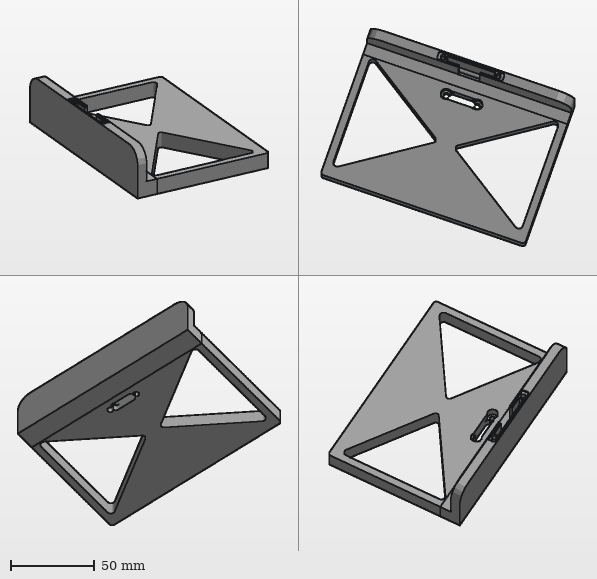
import cadquery as cq

width = 130.0
depth = 91.3
height = 32.0

plate_thickness = 10.0
plate_corner_radius = 2.0
stand_depth = 13.5
wall_thickness = 6.2
wall_corner_radius = 10.0

window_side_margin = 4.8
window_half_height = 36.8
window_tip_gap = 9.6
window_centre_y = 49.0
window_corner_radius = 2.5
window_tip_radius = 2.0

opening_y = 20.0
opening_slot_length = 17.0
opening_height = 5.5
opening_step_depth = 5.2
plate_screw_spacing = 19.8
plate_screw_diameter = 3.5
plate_screw_head_diameter = 6.5

seat_y = 3.2
seat_length = 41.9
seat_width = 4.7
seat_depth = 1.0
seat_corner_radius = 1.0
seat_screw_spacing = 35.1
seat_screw_diameter = 3.0
seat_screw_depth = 6.5

pocket_length = 30.4
pocket_front_y = 2.0
pocket_back_y = 4.7
bend_radius = 2.0
ledge_z = 9.4
notch_width = 13.5
notch_floor_z = 9.4


def block(length, y_front, y_back, z_bottom, z_top):
    """Block centred on X = 0 between the given Y and Z limits."""
    size_y = y_back - y_front
    size_z = z_top - z_bottom
    solid = cq.Workplane("XY").box(length, size_y, size_z, centered=(True, False, False))
    return solid.translate((0, y_front, z_bottom))


def cylinder_pair(spacing, diameter, y, z_bottom, z_top):
    """Two upright cylinders placed evenly about X = 0."""
    radius = diameter / 2
    centres = [(-spacing / 2, y), (spacing / 2, y)]
    plane = cq.Workplane("XY").workplane(offset=z_bottom)
    return plane.pushPoints(centres).circle(radius).extrude(z_top - z_bottom)


def make_window():
    """Cutter for the left triangular window."""
    outer_x = -width / 2 + window_side_margin
    triangle = (
        cq.Workplane("XY")
        .moveTo(outer_x, window_centre_y - window_half_height)
        .lineTo(outer_x, window_centre_y + window_half_height)
        .lineTo(-window_tip_gap / 2, window_centre_y)
        .close()
        .extrude(plate_thickness)
    )
    rounded_tip = triangle.edges("|Z and >X").fillet(window_tip_radius)
    return rounded_tip.edges("|Z and (<Y or >Y)").fillet(window_corner_radius)


def make_opening():
    """Cutter for the stepped connector opening and its two screw holes."""
    step_z = plate_thickness - opening_step_depth
    y_front = opening_y - opening_height / 2
    y_back = opening_y + opening_height / 2
    slot = (
        cq.Workplane("XY")
        .center(0, opening_y)
        .slot2D(opening_slot_length, opening_height)
        .extrude(plate_thickness)
    )
    holes = cylinder_pair(plate_screw_spacing, plate_screw_diameter, opening_y, 0, plate_thickness)
    heads = cylinder_pair(
        plate_screw_spacing, plate_screw_head_diameter, opening_y, step_z, plate_thickness
    )
    step = block(plate_screw_spacing, y_front, y_back, step_z, plate_thickness)
    return slot.union(holes).union(heads).union(step)


def make_plate():
    """Flat plate with two triangular windows and the connector opening."""
    plate = block(width, stand_depth, depth, 0, plate_thickness)
    plate = plate.edges("|Z and >Y").fillet(plate_corner_radius)
    window = make_window()
    plate = plate.cut(window).cut(window.mirror("YZ"))
    return plate.cut(make_opening())


def make_seat():
    """Cutter for the shallow rounded seat and its two blind screw holes."""
    floor_z = height - seat_depth
    seat = block(seat_length, seat_y - seat_width / 2, seat_y + seat_width / 2, floor_z, height)
    seat = seat.edges("|Z").fillet(seat_corner_radius)
    holes = cylinder_pair(
        seat_screw_spacing, seat_screw_diameter, seat_y, floor_z - seat_screw_depth, floor_z
    )
    return seat.union(holes)


def make_cable_pocket():
    """Cutter for the pocket, whose floor rolls down along its rear side."""
    bend_end_z = ledge_z - bend_radius
    bend_front_y = pocket_back_y - bend_radius
    bend_drop = bend_radius * (1 - 0.5 ** 0.5)
    bend_middle = (pocket_back_y - bend_drop, ledge_z - bend_drop)
    return (
        cq.Workplane("YZ")
        .moveTo(pocket_front_y, height)
        .lineTo(pocket_front_y, ledge_z)
        .lineTo(bend_front_y, ledge_z)
        .threePointArc(bend_middle, (pocket_back_y, bend_end_z))
        .lineTo(pocket_back_y, height)
        .close()
        .extrude(pocket_length / 2, both=True)
    )


def make_stand():
    """Foot and upright wall, with the connector seat and cable pocket cut into the wall."""
    foot = block(width, 0, stand_depth, 0, plate_thickness)
    wall = block(width, 0, wall_thickness, 0, height)
    wall = wall.edges("|Y and >Z").fillet(wall_corner_radius)
    notch = block(notch_width, pocket_back_y, wall_thickness, notch_floor_z, height)
    stand = foot.union(wall).cut(make_seat())
    return stand.cut(make_cable_pocket()).cut(notch)


plate = make_plate()
stand = make_stand()

result = cq.Compound.makeCompound([plate.val(), stand.val()])